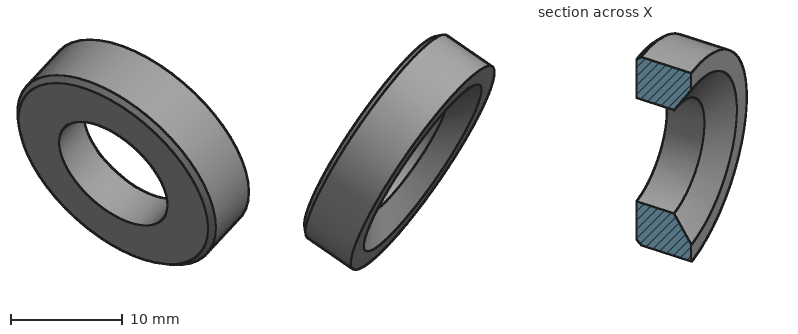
import cadquery as cq
import math

outer_diameter = 22.0
bore_diameter = 12.0
thickness = 5.5
chamfer_size = 0.5
seat_diameter = 18.0
seat_angle = 120.0

outer_radius = outer_diameter / 2
bore_radius = bore_diameter / 2
seat_radius = seat_diameter / 2
front_y = -thickness / 2
back_y = thickness / 2
seat_depth = (seat_radius - bore_radius) / math.tan(math.radians(seat_angle / 2))


def make_washer():
    """Revolve the half section, drawn as (radius, Y), about the Y axis."""
    section = [
        (bore_radius, front_y),
        (outer_radius - chamfer_size, front_y),
        (outer_radius, front_y + chamfer_size),
        (outer_radius, back_y),
        (seat_radius, back_y),
        (bore_radius, back_y - seat_depth),
    ]
    axis_start = (0, 0)
    axis_end = (0, 1)
    return cq.Workplane("XY").polyline(section).close().revolve(360, axis_start, axis_end)


result = make_washer()